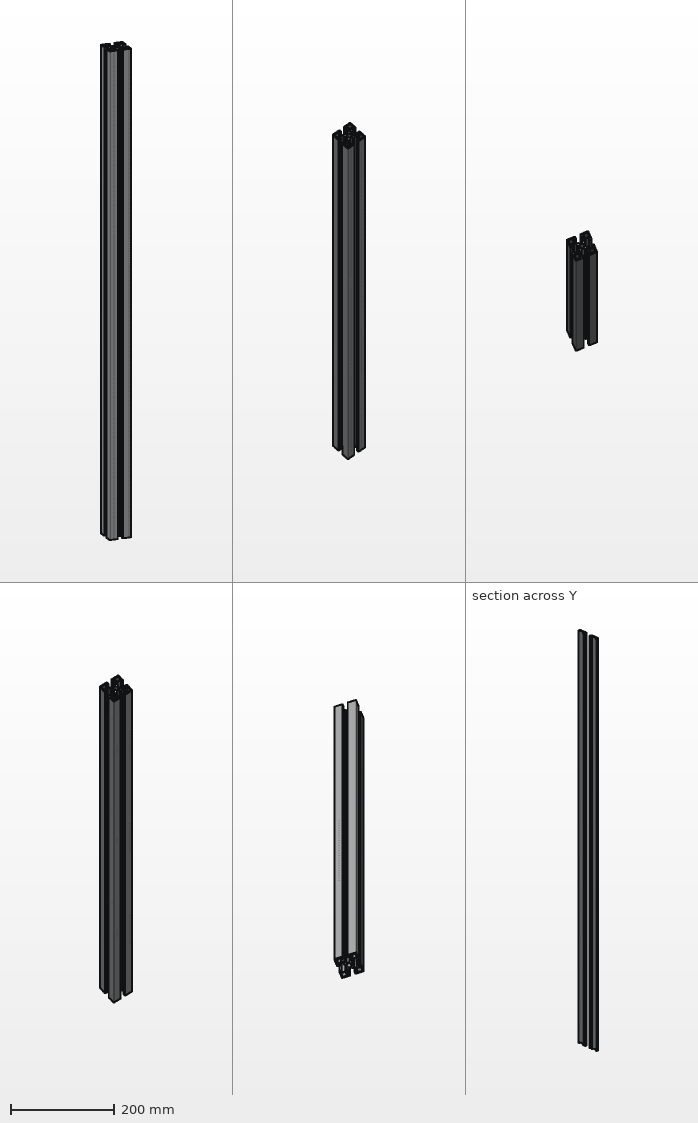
import cadquery as cq

SIDE = 45.0
LENGTH = 1000.0
OUTER_RADIUS = 1.0

SLOT_HALF_OPENING = 5.0
MOUTH_CHAMFER = 1.0
LIP_TIP_DEPTH = 5.25
LIP_TIP_HALF_WIDTH = 7.75
LIP_STEP_WIDTH = 0.25
LIP_ROOT_DEPTH = 3.5
SLOT_HALF_WIDTH = 10.25
SLOT_DEPTH = 14.0
FLOOR_CORNER_CHAMFER = 3.25

GROOVE_HALF_MOUTH = 4.0
GROOVE_HALF_BOTTOM = 2.75
GROOVE_DEPTH = 2.25

SLOT_WALL = 1.25
OUTER_WALL = 2.5
CHAMBER_RADIUS = 2.0

CORE_BORE_DIAMETER = 9.0

HALF_SIDE = SIDE / 2
SIDE_COUNT = 4


def make_bar():
    """Square bar standing on the XY plane, with rounded long edges."""
    return cq.Workplane("XY").rect(SIDE, SIDE).extrude(LENGTH).edges("|Z").fillet(OUTER_RADIUS)


def make_slot():
    """Cutter for the T-slot that opens on the +Y face."""
    groove_bottom_depth = SLOT_DEPTH + GROOVE_DEPTH
    half_outline = [
        (SLOT_HALF_OPENING + MOUTH_CHAMFER, 0),
        (SLOT_HALF_OPENING, MOUTH_CHAMFER),
        (SLOT_HALF_OPENING, LIP_TIP_DEPTH),
        (LIP_TIP_HALF_WIDTH, LIP_TIP_DEPTH),
        (LIP_TIP_HALF_WIDTH + LIP_STEP_WIDTH, LIP_ROOT_DEPTH),
        (SLOT_HALF_WIDTH, LIP_ROOT_DEPTH),
        (SLOT_HALF_WIDTH, SLOT_DEPTH - FLOOR_CORNER_CHAMFER),
        (SLOT_HALF_WIDTH - FLOOR_CORNER_CHAMFER, SLOT_DEPTH),
        (GROOVE_HALF_MOUTH, SLOT_DEPTH),
        (GROOVE_HALF_BOTTOM, groove_bottom_depth),
    ]
    right_side = [(half_width, HALF_SIDE - depth) for half_width, depth in half_outline]
    left_side = [(-x, y) for x, y in reversed(right_side)]
    return cq.Workplane("XY").polyline(right_side + left_side).close().extrude(LENGTH)


def make_chamber():
    """Cutter for the rounded square chamber in the +X +Y corner."""
    inner = SLOT_HALF_WIDTH + SLOT_WALL
    outer = HALF_SIDE - OUTER_WALL
    size = outer - inner
    centre = (inner + outer) / 2
    chamber = cq.Workplane("XY").center(centre, centre).rect(size, size).extrude(LENGTH)
    return chamber.edges("|Z").fillet(CHAMBER_RADIUS)


def make_core_bore():
    """Cutter for the round bore along the centre of the core."""
    return cq.Workplane("XY").circle(CORE_BORE_DIAMETER / 2).extrude(LENGTH)


def make_profile():
    """Bar with a T-slot on every side, a chamber in every corner and a central bore."""
    profile = make_bar().cut(make_core_bore())
    slot = make_slot()
    chamber = make_chamber()
    for side in range(SIDE_COUNT):
        angle = side * 360 / SIDE_COUNT
        for cutter in (slot, chamber):
            profile = profile.cut(cutter.rotate((0, 0, 0), (0, 0, 1), angle))
    return profile


result = make_profile()